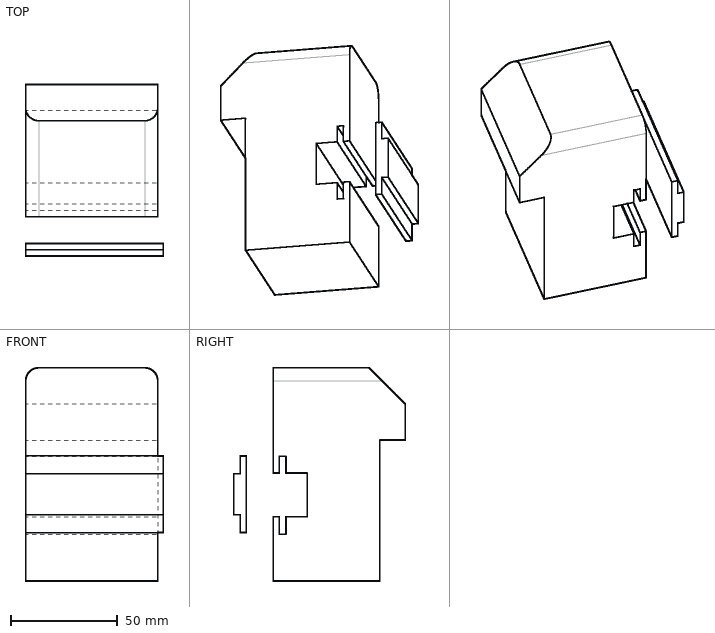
import cadquery as cq

HOUSING_WIDTH = 62.0
HOUSING_HEIGHT = 100.0
BODY_DEPTH = 50.0
HEAD_OVERHANG = 12.0
HEAD_BOTTOM = 66.0
SLOPE_LEG = 17.0
TOP_EDGE_RADIUS = 6.2

CHANNEL_BOTTOM = 30.2
CHANNEL_HEIGHT = 20.4
CHANNEL_DEPTH = 16.0
SLOT_BOTTOM = 22.0
SLOT_HEIGHT = 36.4
SLOT_WIDTH = 3.0
LIP_THICKNESS = 3.0

PLATE_LENGTH = 64.6
PLATE_HEIGHT = 36.0
PLATE_BOTTOM = 22.7
PLATE_THICKNESS = 3.0
RIB_HEIGHT = 19.4
RIB_THICKNESS = 3.0
PLATE_GAP = 12.5



def x_bar(length, y_min, y_max, z_min, z_max):
    """Rectangular bar that starts at X = 0 and runs along +X."""
    return cq.Workplane("XY").box(length, y_max - y_min, z_max - z_min, centered=False).translate(
        (0, y_min, z_min)
    )


def make_housing():
    head_back = BODY_DEPTH + HEAD_OVERHANG
    side_outline = [
        (0, 0),
        (BODY_DEPTH, 0),
        (BODY_DEPTH, HEAD_BOTTOM),
        (head_back, HEAD_BOTTOM),
        (head_back, HOUSING_HEIGHT - SLOPE_LEG),
        (head_back - SLOPE_LEG, HOUSING_HEIGHT),
        (0, HOUSING_HEIGHT),
    ]
    block = cq.Workplane("YZ").polyline(side_outline).close().extrude(HOUSING_WIDTH)

    envelope = (
        cq.Workplane("XY")
        .box(HOUSING_WIDTH, head_back, HOUSING_HEIGHT, centered=False)
        .edges("|Y and >Z")
        .fillet(TOP_EDGE_RADIUS)
    )

    channel = x_bar(HOUSING_WIDTH, 0, CHANNEL_DEPTH, CHANNEL_BOTTOM, CHANNEL_BOTTOM + CHANNEL_HEIGHT)
    slots = x_bar(
        HOUSING_WIDTH, LIP_THICKNESS, LIP_THICKNESS + SLOT_WIDTH, SLOT_BOTTOM, SLOT_BOTTOM + SLOT_HEIGHT
    )
    return block.intersect(envelope).cut(channel).cut(slots)


def make_slide_plate():
    plate_back = -PLATE_GAP
    plate_front = plate_back - PLATE_THICKNESS
    rib_front = plate_front - RIB_THICKNESS
    rib_bottom = PLATE_BOTTOM + (PLATE_HEIGHT - RIB_HEIGHT) / 2
    plate = x_bar(PLATE_LENGTH, plate_front, plate_back, PLATE_BOTTOM, PLATE_BOTTOM + PLATE_HEIGHT)
    rib = x_bar(PLATE_LENGTH, rib_front, plate_front, rib_bottom, rib_bottom + RIB_HEIGHT)
    return plate.union(rib)


housing = make_housing()
slide_plate = make_slide_plate()
result = cq.Compound.makeCompound([housing.val(), slide_plate.val()])